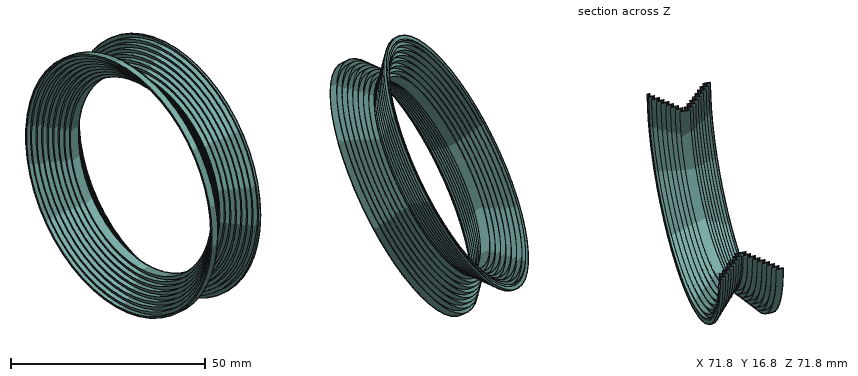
import cadquery as cq

outer_radius = 35.9
width = 16.8
step_count = 8
step_height = 1.04
step_pitch = 0.98
undercut = 0.53
wall = 0.44
web = 0.44
front_rim_length = 1.95
waist_gap = 0.4

inner_radius = outer_radius - wall
last_step = step_count - 1
mid_plane = front_rim_length + last_step * step_pitch + waist_gap / 2

slant_across_wall = undercut * wall / step_height
inner_corner = front_rim_length - slant_across_wall - web


def stair(rim_radius, first_corner):
    """Zigzag (radius, y) from the rim to the waist; each web leans back towards the rim."""
    points = []
    for step in range(step_count):
        radius = rim_radius - step * step_height
        corner = first_corner + step * step_pitch
        points.append((radius, corner))
        points.append((radius - step_height, corner - undercut))
    return points


def mirrored(points):
    """The same points on the +Y side of the waist, running from the waist outwards."""
    return [(radius, 2 * mid_plane - y) for radius, y in reversed(points)]


def ring_profile():
    """Closed half section of the ring, starting at the -Y rim."""
    outer_stair = stair(outer_radius, front_rim_length)
    inner_stair = stair(inner_radius, inner_corner)
    outer = [(outer_radius, 0)] + outer_stair + mirrored(outer_stair) + [(outer_radius, width)]

    rear_inner_stair = mirrored(inner_stair[2:])
    rear_end = (inner_radius - step_height, width)
    inner = [(inner_radius, 0)] + inner_stair + rear_inner_stair + [rear_end]
    return cq.Workplane("XY").polyline(outer + inner[::-1]).close()


ring = ring_profile().revolve(360, (0, 0, 0), (0, 1, 0))
result = ring.translate((0, -width / 2, 0))